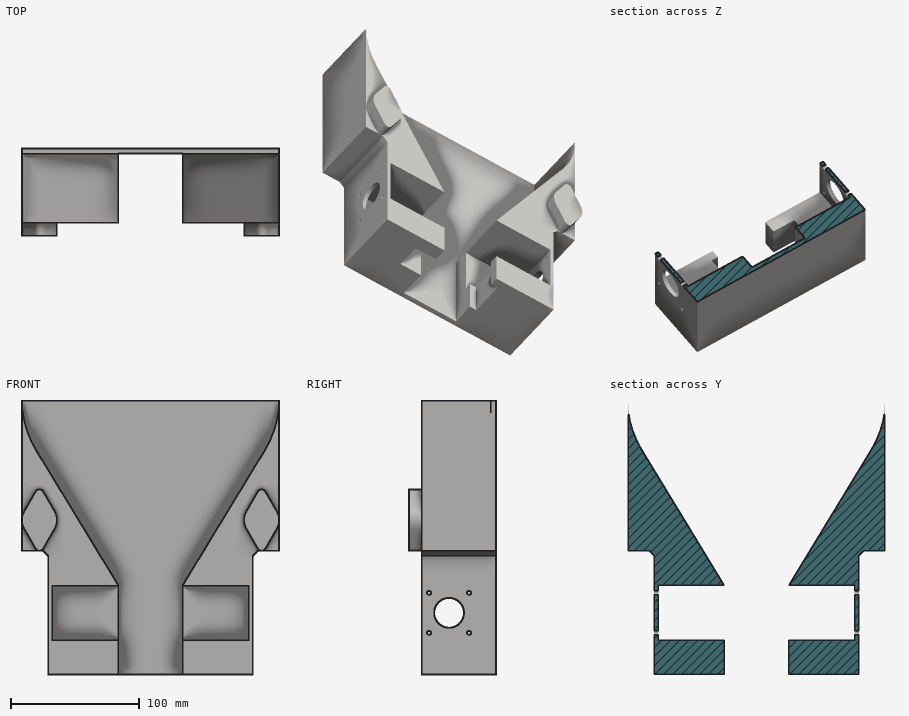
import cadquery as cq
import math

height = 213.0
upper_width = 200.0
lower_width = 159.1
body_depth = 58.0
plate_thickness = 4.0
shoulder_z = 96.3
shoulder_chamfer = 4.0

chute_width = 49.8
chute_top_z = 69.2
funnel_angle = math.radians(31.3)
rim_thickness = 0.1

pocket_bottom_z = 26.8
pocket_top_z = chute_top_z
pocket_back_y = -17.0
pocket_wall = 3.2

motor_y = -36.6
motor_z = (pocket_bottom_z + pocket_top_z) / 2
shaft_hole_diameter = 23.0
screw_spacing = 31.0
screw_hole_diameter = 3.0

left_slot_width = 20.0
left_slot_depth = 19.5
right_slot_width = 28.1
right_slot_depth = 6.0

lug_height = 10.0
lug_side_radius = 13.6
lug_tip_radius = 3.5
lug_half_angle = math.radians(30)
lug_x = upper_width / 2 - lug_side_radius
lug_tip_z = lug_side_radius / math.sin(lug_half_angle) - lug_tip_radius
lug_z = shoulder_z + lug_tip_z

half_upper = upper_width / 2
half_lower = lower_width / 2
half_chute = chute_width / 2


def box(x_range, y_range, z_range):
    """Box spanning the given ranges along each axis."""
    size = [high - low for low, high in (x_range, y_range, z_range)]
    corner = (x_range[0], y_range[0], z_range[0])
    return cq.Workplane("XY").box(*size, centered=False).translate(corner)


def front_prism(outline, back_y, depth):
    """Extrude an XZ outline toward the front, starting at back_y."""
    return outline(cq.Workplane("XZ", origin=(0, back_y, 0))).close().extrude(depth)


def body_outline(plane):
    chamfer_x = half_lower + shoulder_chamfer
    chamfer_z = shoulder_z - shoulder_chamfer
    right_side = [
        (half_lower, 0),
        (half_lower, chamfer_z),
        (chamfer_x, shoulder_z),
        (half_upper, shoulder_z),
        (half_upper, height),
    ]
    left_side = [(-x, z) for x, z in reversed(right_side)]
    return plane.polyline(right_side + left_side)


def funnel_outline(plane):
    half_mouth = half_upper - rim_thickness
    corner_z = chute_top_z + (half_mouth - half_chute) / math.tan(funnel_angle)
    funnel_radius = (height - corner_z) / math.tan(funnel_angle / 2)
    arc_center_x = half_mouth - funnel_radius
    arc_low_x = arc_center_x + funnel_radius * math.cos(funnel_angle)
    arc_low_z = height - funnel_radius * math.sin(funnel_angle)
    arc_mid_x = arc_center_x + funnel_radius * math.cos(funnel_angle / 2)
    arc_mid_z = height - funnel_radius * math.sin(funnel_angle / 2)
    return (
        plane.moveTo(-half_chute, 0)
        .lineTo(half_chute, 0)
        .lineTo(half_chute, chute_top_z)
        .lineTo(arc_low_x, arc_low_z)
        .threePointArc((arc_mid_x, arc_mid_z), (half_mouth, height))
        .lineTo(-half_mouth, height)
        .threePointArc((-arc_mid_x, arc_mid_z), (-arc_low_x, arc_low_z))
        .lineTo(-half_chute, chute_top_z)
    )


def lug(center_x):
    """Diamond lug with broad rounded sides and small rounded tips."""
    cos_flank = math.cos(lug_half_angle)
    sin_flank = math.sin(lug_half_angle)
    side_x = lug_side_radius * cos_flank
    side_z = lug_side_radius * sin_flank
    tip_x = lug_tip_radius * cos_flank
    tip_z = lug_tip_z - lug_tip_radius * (1 - sin_flank)
    return (
        cq.Workplane("XZ", origin=(center_x, -body_depth, lug_z))
        .moveTo(side_x, -side_z)
        .threePointArc((lug_side_radius, 0), (side_x, side_z))
        .lineTo(tip_x, tip_z)
        .threePointArc((0, lug_tip_z), (-tip_x, tip_z))
        .lineTo(-side_x, side_z)
        .threePointArc((-lug_side_radius, 0), (-side_x, -side_z))
        .lineTo(-tip_x, -tip_z)
        .threePointArc((0, -lug_tip_z), (tip_x, -tip_z))
        .close()
        .extrude(lug_height)
    )


def motor_pocket(side):
    """Pocket on one side of the chute: side is -1 for left, 1 for right."""
    x_range = sorted((0, side * (half_lower - pocket_wall)))
    return box(x_range, (-body_depth, pocket_back_y), (pocket_bottom_z, pocket_top_z))


def floor_slot(side, width, depth):
    x_range = sorted((0, side * (half_chute + depth)))
    y_range = (motor_y - width / 2, motor_y + width / 2)
    return box(x_range, y_range, (0, pocket_bottom_z))


def motor_holes():
    """Shaft and screw holes running along X through both outer walls."""
    plane = cq.Workplane("YZ", origin=(-half_lower, motor_y, motor_z))
    shaft = plane.circle(shaft_hole_diameter / 2).extrude(lower_width)
    screws = (
        plane.rect(screw_spacing, screw_spacing, forConstruction=True)
        .vertices()
        .circle(screw_hole_diameter / 2)
        .extrude(lower_width)
    )
    return shaft.union(screws)


result = front_prism(body_outline, 0, body_depth)
result = result.cut(front_prism(funnel_outline, -plate_thickness, body_depth - plate_thickness))
for side in (-1, 1):
    result = result.cut(motor_pocket(side))
    result = result.union(lug(side * lug_x))
result = result.cut(floor_slot(-1, left_slot_width, left_slot_depth))
result = result.cut(floor_slot(1, right_slot_width, right_slot_depth))
result = result.cut(motor_holes())